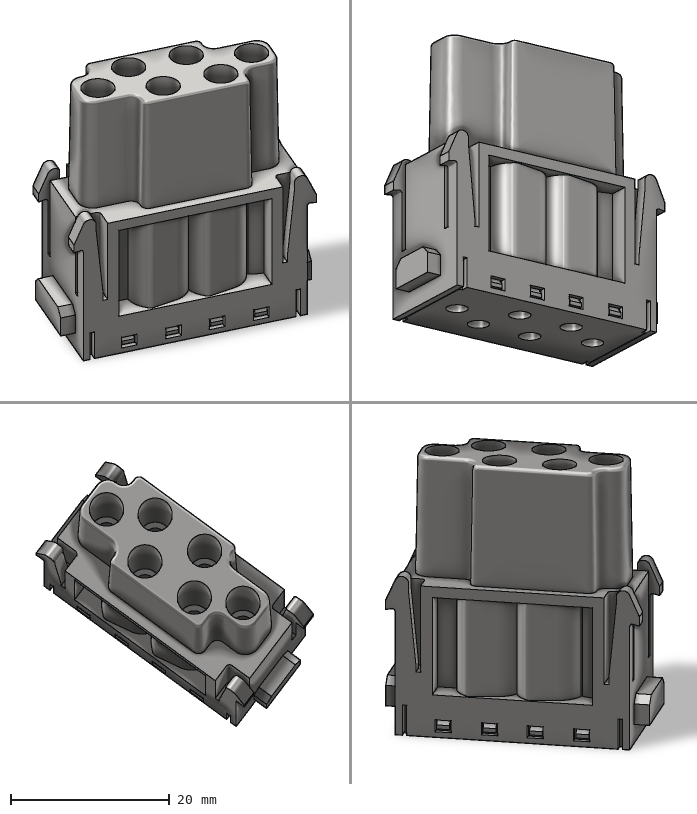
import cadquery as cq
import math

BODY_X = 14.6
BODY_Y = 30.2
BODY_Z = 19.98
TOTAL_Z = 35.8

PLUG_DRAFT_DEG = 1.0
PLUG_RIM_R = 0.5
PLUG_HALF_X = 5.98
PLUG_HALF_Y = 13.65
TONGUE_X = 3.47
BACK_TONGUE_RIGHT_X = 2.75
LEFT_SHOULDERS_Y = (-10.3, 5.85)
RIGHT_SHOULDERS_Y = (-6.48, 8.45)
TONGUE_CORNER_R = 2.0
INNER_CORNER_R = 1.18
SHOULDER_CORNER_R = 1.0

HOLE_D = 2.8
SOCKET_D = 4.3
SOCKET_DEPTH = TOTAL_Z - BODY_Z
ROW_X = 2.8
ROW_PITCH = 7.77
ROW_Y = 2.6
END_HOLE_X = 0.32
END_HOLE_Y = 10.5

NOTCH_X = 4.48
NOTCH_Y = 11.8
NOTCH_FLOOR_Z = 8.52
NOTCH_R = 0.5
LATCH_WIDTH = 2.05
LATCH_TIP_Y = 16.35
LATCH_TIP_Z = 17.75
LATCH_HOOK_Z = 16.55
LATCH_HOOK_D = 0.75
LATCH_HOOK_R = LATCH_HOOK_D / 2
LATCH_HOOK_ROOT_Z = 16.72
LATCH_HEAD_OUTER = (15.1, 20.55)
LATCH_HEAD_TOP = (14.32, 21.1)
LATCH_HEAD_INNER = (13.4, 20.4)
LATCH_TAPER_TOP_Z = 19.33
LATCH_ROOT_INNER_Y = 12.42
LATCH_ROOT_TOP_Z = 9.5
LATCH_EDGE_R = 0.5

TOTAL_Y = 34.2
LUG_TIP_Y = TOTAL_Y / 2
LUG_BOTTOM_Z = 2.5
LUG_TOP_Z = 6.25
LUG_CHAMFER = 1.05
FRONT_LUG_X = 9.02
BACK_LUG_X = 7.12

WINDOW_Y = 20.62
WINDOW_BOTTOM_Z = 5.62
WINDOW_TOP_Z = 18.55
WINDOW_Z = WINDOW_TOP_Z - WINDOW_BOTTOM_Z
WINDOW_DEPTH = 3.33
END_CHAMBER_R = 4.8
LOBE_BACK_START_Y = 7.85
LOBE_FLANK_MID = (-5.48, 7.37)
LOBE_FLANK_END = (-6.62, 6.37)
LOBE_NOSE_MID = (-6.95, 5.9)
LOBE_FLAT_START = (-6.95, 5.35)
LOBE_FLAT_END = (-6.3, 2.0)
LOBE_ROUND_MID = (-5.48, 0.55)
LOBE_BACK_END_Y = -0.4

SNAP_CENTERS_Y = (-8.9, -2.95, 2.95, 8.9)
SNAP_Y = 2.08
SNAP_BOTTOM_Z = 0.75
SNAP_TOP_Z = 2.33
SNAP_DEPTH = 0.7
WEDGE_Y = 1.7
WEDGE_SHIFT_Y = 0.07
WEDGE_BOTTOM_Z = 1.07
WEDGE_EDGE_Z = 1.6
WEDGE_HEIGHT = 0.5
SLOT_INNER_Y = 13.6
SLOT_Y = 0.57
SLOT_Z = 4.0
SLOT_DEPTH = 1.07
SLIT_Y = 0.1

PICK_GAP = 0.05

HALF_X = BODY_X / 2
HALF_Y = BODY_Y / 2


def block(x0, x1, y0, y1, z0, z1):
    """Box between two opposite corners."""
    box = cq.Workplane("XY").box(x1 - x0, y1 - y0, z1 - z0, centered=False)
    return box.translate((x0, y0, z0))


def both_sides(shape):
    """The shape together with its copy turned half round the Z axis."""
    return shape.union(shape.rotate((0, 0, 0), (0, 0, 1), 180))


def four_corners(shape):
    """A +X +Y corner shape repeated at all four corners."""
    return both_sides(shape.union(shape.mirror("YZ")))


def rounded_polygon(corners):
    """Closed outline from (x, y, radius) corners, each rounded by a tangent arc."""
    outline = None
    count = len(corners)
    for i, (x, y, radius) in enumerate(corners):
        corner = cq.Vector(x, y)
        back = (cq.Vector(*corners[i - 1][:2]) - corner).normalized()
        ahead = (cq.Vector(*corners[(i + 1) % count][:2]) - corner).normalized()
        half_angle = back.getAngle(ahead) / 2
        setback = radius / math.tan(half_angle)
        bisector = (back + ahead).normalized()
        middle = corner + bisector * (radius / math.sin(half_angle) - radius)
        start = (corner + back * setback).toTuple()[:2]
        end = (corner + ahead * setback).toTuple()[:2]
        outline = cq.Workplane("XY").moveTo(*start) if outline is None else outline.lineTo(*start)
        outline = outline.threePointArc(middle.toTuple()[:2], end)
    return outline.close()


def plug():
    """Drafted, stepped plug with a rounded rim."""
    left_front_y, left_back_y = LEFT_SHOULDERS_Y
    right_front_y, right_back_y = RIGHT_SHOULDERS_Y
    outline = rounded_polygon([
        (-TONGUE_X, -PLUG_HALF_Y, TONGUE_CORNER_R),
        (TONGUE_X, -PLUG_HALF_Y, TONGUE_CORNER_R),
        (TONGUE_X, right_front_y, INNER_CORNER_R),
        (PLUG_HALF_X, right_front_y, SHOULDER_CORNER_R),
        (PLUG_HALF_X, right_back_y, SHOULDER_CORNER_R),
        (BACK_TONGUE_RIGHT_X, right_back_y, INNER_CORNER_R),
        (BACK_TONGUE_RIGHT_X, PLUG_HALF_Y, TONGUE_CORNER_R),
        (-TONGUE_X, PLUG_HALF_Y, TONGUE_CORNER_R),
        (-TONGUE_X, left_back_y, INNER_CORNER_R),
        (-PLUG_HALF_X, left_back_y, SHOULDER_CORNER_R),
        (-PLUG_HALF_X, left_front_y, SHOULDER_CORNER_R),
        (-TONGUE_X, left_front_y, INNER_CORNER_R),
    ])
    solid = outline.extrude(TOTAL_Z - BODY_Z, taper=PLUG_DRAFT_DEG)
    return solid.faces(">Z").edges().fillet(PLUG_RIM_R).translate((0, 0, BODY_Z))


def contact_holes():
    """Stepped holes: two staggered rows of two and one at each end."""
    half_set = [(-ROW_X, ROW_Y), (-ROW_X, ROW_Y - ROW_PITCH), (-END_HOLE_X, END_HOLE_Y)]
    centers = half_set + [(-x, -y) for x, y in half_set]
    bores = cq.Workplane("XY").pushPoints(centers).circle(HOLE_D / 2).extrude(TOTAL_Z)
    sockets = (
        cq.Workplane("XY", origin=(0, 0, TOTAL_Z - SOCKET_DEPTH))
        .pushPoints(centers).circle(SOCKET_D / 2).extrude(SOCKET_DEPTH)
    )
    return bores.union(sockets)


def notch():
    """Corner recess at +X +Y with a rounded inner corner."""
    recess = block(NOTCH_X, HALF_X, NOTCH_Y, HALF_Y, NOTCH_FLOOR_Z, BODY_Z)
    return recess.edges("|Z and <X and <Y").fillet(NOTCH_R)


def latch():
    """Tapered snap arm with a hooked head, at +X +Y."""
    inner_x = HALF_X - LATCH_WIDTH
    head_inner_y, head_inner_z = LATCH_HEAD_INNER
    hook_inset = LATCH_HOOK_R * (1 - math.sqrt(0.5))
    profile = (
        cq.Workplane("YZ", origin=(inner_x, 0, 0))
        .moveTo(HALF_Y, NOTCH_FLOOR_Z)
        .lineTo(HALF_Y, LATCH_HOOK_ROOT_Z - LATCH_HOOK_R)
        .threePointArc(
            (HALF_Y + hook_inset, LATCH_HOOK_ROOT_Z - hook_inset),
            (HALF_Y + LATCH_HOOK_R, LATCH_HOOK_ROOT_Z),
        )
        .lineTo(LATCH_TIP_Y, LATCH_HOOK_Z)
        .lineTo(LATCH_TIP_Y, LATCH_TIP_Z)
        .lineTo(*LATCH_HEAD_OUTER)
        .threePointArc(LATCH_HEAD_TOP, LATCH_HEAD_INNER)
        .lineTo(head_inner_y, LATCH_TAPER_TOP_Z)
        .lineTo(LATCH_ROOT_INNER_Y, LATCH_ROOT_TOP_Z)
        .lineTo(LATCH_ROOT_INNER_Y, NOTCH_FLOOR_Z)
        .close()
    )
    arm = profile.extrude(LATCH_WIDTH)
    inner_edges = cq.selectors.BoxSelector(
        (inner_x - PICK_GAP, NOTCH_Y, NOTCH_FLOOR_Z + PICK_GAP),
        (inner_x + PICK_GAP, head_inner_y + PICK_GAP, head_inner_z),
    )
    return arm.edges(inner_edges).fillet(LATCH_EDGE_R)


def lug(width):
    """Coding lug on the +Y end face, chamfered along its two upper edges."""
    bar = block(-width / 2, width / 2, HALF_Y, LUG_TIP_Y, LUG_BOTTOM_Z, LUG_TOP_Z)
    return bar.edges("|Y and >Z").chamfer(LUG_CHAMFER)


def chamber_lobe():
    """Chamber wall of the rear contact in the -X row, standing in the window."""
    back_x = WINDOW_DEPTH - HALF_X
    return (
        cq.Workplane("XY", origin=(0, 0, WINDOW_BOTTOM_Z))
        .moveTo(back_x, LOBE_BACK_START_Y)
        .threePointArc(LOBE_FLANK_MID, LOBE_FLANK_END)
        .threePointArc(LOBE_NOSE_MID, LOBE_FLAT_START)
        .lineTo(*LOBE_FLAT_END)
        .threePointArc(LOBE_ROUND_MID, (back_x, LOBE_BACK_END_Y))
        .close()
        .extrude(WINDOW_Z)
    )


def window():
    """Window in the -X face, leaving the chamber walls standing in it."""
    back_x = WINDOW_DEPTH - HALF_X
    half_y = WINDOW_Y / 2
    opening = block(-HALF_X, back_x, -half_y, half_y, WINDOW_BOTTOM_Z, WINDOW_TOP_Z)
    end_chamber = (
        cq.Workplane("XY", origin=(END_HOLE_X, -END_HOLE_Y, WINDOW_BOTTOM_Z))
        .circle(END_CHAMBER_R).extrude(WINDOW_Z)
    )
    lobe = chamber_lobe()
    return opening.cut(lobe).cut(lobe.translate((0, -ROW_PITCH, 0))).cut(end_chamber)


def snap_opening(center_y):
    """Small opening in the -X face around a snap wedge with a sloped top."""
    floor_x = SNAP_DEPTH - HALF_X
    start_y = center_y - SNAP_Y / 2
    opening = block(-HALF_X, floor_x, start_y, start_y + SNAP_Y, SNAP_BOTTOM_Z, SNAP_TOP_Z)
    wedge_y = center_y + math.copysign(WEDGE_SHIFT_Y, center_y)
    wedge = (
        cq.Workplane("XZ", origin=(0, wedge_y + WEDGE_Y / 2, 0))
        .moveTo(floor_x, WEDGE_BOTTOM_Z)
        .lineTo(floor_x - WEDGE_HEIGHT, WEDGE_BOTTOM_Z)
        .lineTo(floor_x - WEDGE_HEIGHT, WEDGE_EDGE_Z)
        .lineTo(floor_x, SNAP_TOP_Z)
        .close()
        .extrude(WEDGE_Y)
    )
    return opening.cut(wedge)


def foot_slot():
    """Slot open at the bottom of both side faces near +Y, joined by a thin slit."""
    slot_outer_y = SLOT_INNER_Y + SLOT_Y
    slots = block(-HALF_X, SLOT_DEPTH - HALF_X, SLOT_INNER_Y, slot_outer_y, 0, SLOT_Z)
    slit = block(-HALF_X, HALF_X, slot_outer_y - SLIT_Y, slot_outer_y, 0, SLOT_Z)
    return slots.union(slots.mirror("YZ")).union(slit)


result = block(-HALF_X, HALF_X, -HALF_Y, HALF_Y, 0, BODY_Z)
result = result.union(plug()).cut(contact_holes())

result = result.cut(four_corners(notch())).union(four_corners(latch()))
result = result.union(lug(BACK_LUG_X)).union(lug(FRONT_LUG_X).mirror("XZ"))
result = result.cut(both_sides(window()))

for snap_y in SNAP_CENTERS_Y:
    result = result.cut(both_sides(snap_opening(snap_y)))

result = result.cut(both_sides(foot_slot()))